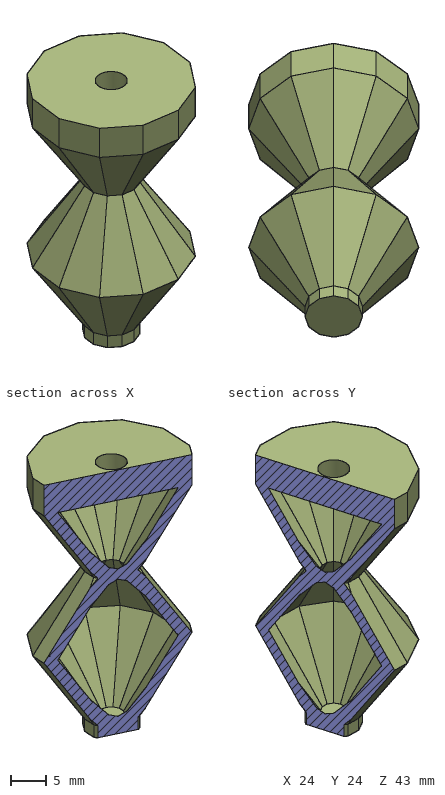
import cadquery as cq

side_count = 12
height = 43.0
wide_diameter = 24.0
narrow_diameter = 8.13
foot_height = 2.0
cone_height = 12.0

wall_offset = 2.2
bore_diameter = 4.5

belly_level = foot_height + cone_height
waist_level = belly_level + cone_height
rim_level = waist_level + cone_height


def frustum(bottom_level, top_level, bottom_diameter, top_diameter):
    """Twelve-sided frustum with corners on the X and Y axes."""
    return (
        cq.Workplane("XY")
        .workplane(offset=bottom_level)
        .polygon(side_count, bottom_diameter)
        .workplane(offset=top_level - bottom_level)
        .polygon(side_count, top_diameter)
        .loft(ruled=True)
    )


def cone_stack(narrow, wide):
    """Three cones: widening to the belly, narrowing to the waist, widening to the rim."""
    lower = frustum(foot_height, belly_level, narrow, wide)
    middle = frustum(belly_level, waist_level, wide, narrow)
    upper = frustum(waist_level, rim_level, narrow, wide)
    return lower.union(middle).union(upper)


foot = frustum(0, foot_height, narrow_diameter, narrow_diameter)
rim = frustum(rim_level, height, wide_diameter, wide_diameter)
body = cone_stack(narrow_diameter, wide_diameter).union(foot).union(rim)

cavity = cone_stack(narrow_diameter - 2 * wall_offset, wide_diameter - 2 * wall_offset)

bore = (
    cq.Workplane("XY")
    .workplane(offset=rim_level)
    .circle(bore_diameter / 2)
    .extrude(height - rim_level)
)

result = body.cut(cavity).cut(bore)